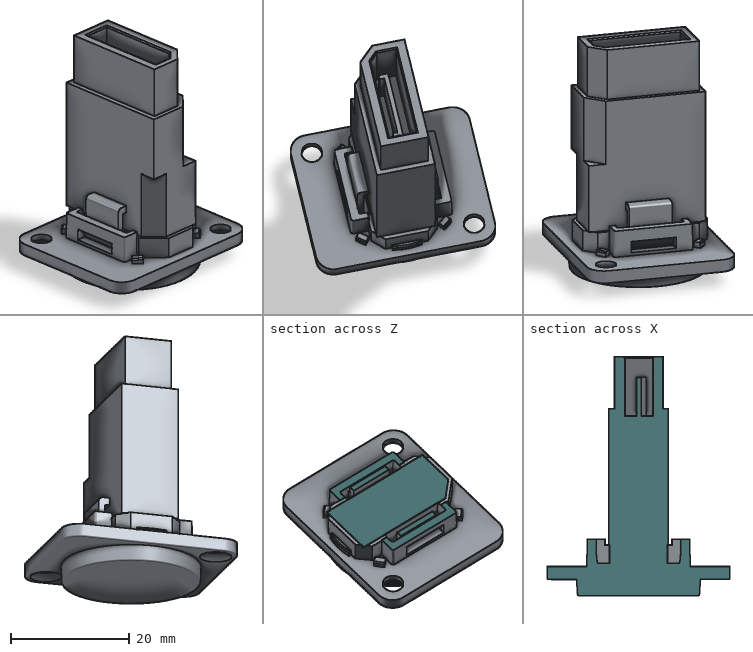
import cadquery as cq
import math

flange_x = 26.0
flange_y = 31.0
flange_corner_radius = 3.0
flange_edge_radius = 0.25
boss_height = 2.75
flange_thickness = 2.25
flange_top = boss_height + flange_thickness
boss_top_radius = 11.9
boss_bottom_radius = 11.75
boss_edge_radius = 0.25
screw_diameter = 3.5
countersink_diameter = 5.4
countersink_depth = 1.2
screw_x = 9.5
screw_y = 12.0

collar_x = 22.1
collar_y = 11.5
collar_top = 8.62
collar_chamfer = 2.05
collar_key_chamfer = 3.6

body_x = 20.7
body_y = 10.1
body_key_chamfer = 3.0
body_split = 20.45
body_top = 31.7
nose_x = 19.05
nose_y = 8.25
nose_center_y = 0.05
nose_key_chamfer = 2.65
overall_height = 40.5

socket_x = 16.15
socket_y = 4.7
socket_center_y = 0.07
socket_key_chamfer = 1.4
socket_lead_in = 0.25
socket_depth = 10.0
tongue_center_x = -0.5
tongue_length = 12.0
tongue_bottom_y = -0.35
tongue_thickness = 0.82
tongue_hook_height = 1.65
tongue_hook_width = 0.75
tongue_recess = 3.5

frame_x = 14.1
frame_outer_y = 8.82
frame_inner_y = 5.65
frame_top = 9.6
frame_corner_radius = 0.5
frame_draft = 1.6
pocket_top_x = 11.8
pocket_floor_x = 10.9
pocket_outer_y = 7.13
pocket_undercut = 0.1
pocket_inner_y = body_y / 2 - pocket_undercut
pocket_corner_radius = 0.3
window_x = 8.0
window_sill = 0.55
window_head = 2.5
window_bottom = flange_top + window_sill
window_top = flange_top + window_head

clip_x = 7.65
clip_outer_y = 7.0
clip_leg = 1.1
clip_arm = 1.25
clip_top = 13.3
clip_outer_radius = 0.75
clip_inner_radius = 0.3
hook_reach = 1.0
hook_top_gap = 0.3
hook_top = window_top - hook_top_gap

tab_outer_radius = 11.8
tab_height = 0.97
tab_chamfer = 0.25
corner_tab_inner_radius = 10.55
corner_tab_width = 1.86
corner_tab_angles = (40, 140, 220, 320)
side_tab_inner_radius = 10.5
side_tab_width = 5.16
side_tab_angle = 180


def block(size_x, size_y, bottom, top, center_y=0.0):
    base = cq.Workplane("XY", origin=(0, center_y, bottom))
    return base.rect(size_x, size_y).extrude(top - bottom)


def keyed_block(size_x, size_y, bottom, top, key, center_y=0.0, key_side=1):
    """Box with one +X corner cut off, on the +Y side (1) or the -Y side (-1)."""
    edge = ">X and >Y" if key_side > 0 else ">X and <Y"
    return block(size_x, size_y, bottom, top, center_y).edges(edge).chamfer(key)


def make_screw_hole(x, y):
    """Screw hole through the flange with a countersink on the underside."""
    hole = (
        cq.Workplane("XY", origin=(x, y, boss_height))
        .circle(screw_diameter / 2)
        .extrude(flange_thickness)
    )
    countersink = (
        cq.Workplane("XY", origin=(x, y, boss_height))
        .circle(countersink_diameter / 2)
        .workplane(offset=countersink_depth)
        .circle(screw_diameter / 2)
        .loft()
    )
    return hole.union(countersink)


def make_flange():
    plate = block(flange_x, flange_y, boss_height, flange_top)
    plate = plate.edges("|Z").fillet(flange_corner_radius)
    plate = plate.faces("<Z").edges().fillet(flange_edge_radius)
    boss = (
        cq.Workplane("XY")
        .circle(boss_bottom_radius)
        .workplane(offset=boss_height)
        .circle(boss_top_radius)
        .loft()
        .faces("<Z").edges().fillet(boss_edge_radius)
    )
    flange = plate.union(boss)
    for side in (1, -1):
        flange = flange.cut(make_screw_hole(side * screw_x, side * screw_y))
    return flange


def make_collar():
    collar = keyed_block(collar_x, collar_y, flange_top, collar_top, collar_key_chamfer, key_side=-1)
    for edge in ("<X and <Y", "<X and >Y", ">X and >Y"):
        collar = collar.edges(edge).chamfer(collar_chamfer)
    return collar


def make_coupler():
    """Two body halves with opposite keys, topped by the nose of the upper socket."""
    lower = keyed_block(body_x, body_y, collar_top, body_split, body_key_chamfer, key_side=-1)
    upper = keyed_block(body_x, body_y, body_split, body_top, body_key_chamfer)
    nose = keyed_block(nose_x, nose_y, body_top, overall_height, nose_key_chamfer, nose_center_y)
    return lower.union(upper).union(nose)


def make_socket():
    """Volume of the open socket, with a 45 degree lead-in at its mouth."""
    floor = overall_height - socket_depth
    socket = keyed_block(
        socket_x, socket_y, floor, overall_height, socket_key_chamfer, socket_center_y
    )
    lead_in = keyed_block(
        socket_x + 2 * socket_lead_in,
        socket_y + 2 * socket_lead_in,
        overall_height - socket_lead_in,
        overall_height + socket_lead_in,
        socket_key_chamfer + (2 - math.sqrt(2)) * socket_lead_in,
        socket_center_y,
    )
    lead_in = lead_in.faces("<Z").edges().chamfer(socket_lead_in)
    return socket.union(lead_in)


def make_tongue():
    """Contact tongue with a hook at each end, standing on the socket floor."""
    floor = overall_height - socket_depth
    height = socket_depth - tongue_recess
    outer_x = tongue_length / 2
    inner_x = outer_x - tongue_hook_width
    return (
        cq.Workplane("XY", origin=(tongue_center_x, tongue_bottom_y, floor))
        .moveTo(-outer_x, 0)
        .lineTo(outer_x, 0)
        .lineTo(outer_x, tongue_hook_height)
        .lineTo(inner_x, tongue_hook_height)
        .lineTo(inner_x, tongue_thickness)
        .lineTo(-inner_x, tongue_thickness)
        .lineTo(-inner_x, tongue_hook_height)
        .lineTo(-outer_x, tongue_hook_height)
        .close()
        .extrude(height)
    )


def make_frames():
    """Both latch frames before their pockets and windows are cut."""
    height = frame_top - flange_top
    frames = (
        cq.Workplane("XY", origin=(0, 0, flange_top))
        .sketch()
        .rect(frame_x, 2 * frame_outer_y)
        .vertices()
        .fillet(frame_corner_radius)
        .finalize()
        .extrude(height, taper=frame_draft)
    )
    middle = block(frame_x, 2 * frame_inner_y, flange_top, frame_top)
    return frames.cut(middle)


def make_pockets():
    """Two openings beside the coupler, narrowing towards the flange."""
    opening = (
        cq.Workplane("XZ", origin=(0, pocket_outer_y, 0))
        .moveTo(-pocket_floor_x / 2, flange_top)
        .lineTo(pocket_floor_x / 2, flange_top)
        .lineTo(pocket_top_x / 2, frame_top)
        .lineTo(-pocket_top_x / 2, frame_top)
        .close()
        .extrude(2 * pocket_outer_y)
        .edges("not(#Z or |Y)").fillet(pocket_corner_radius)
    )
    core = block(collar_x, 2 * pocket_inner_y, flange_top, frame_top)
    return opening.cut(core)


def make_windows():
    """One window through the outer wall of each frame."""
    windows = block(window_x, 2 * frame_outer_y, window_bottom, window_top)
    core = block(window_x, 2 * pocket_outer_y, window_bottom, window_top)
    return windows.cut(core)


def make_clip():
    """Clip on the +Y side: leg, arm into the body and a hook in the window."""
    leg_inner_y = clip_outer_y - clip_leg
    arm_bottom = clip_top - clip_arm
    arm_inner_y = body_y / 2
    profile = (
        cq.Workplane("YZ", origin=(-clip_x / 2, 0, 0))
        .moveTo(leg_inner_y, flange_top)
        .lineTo(clip_outer_y, flange_top)
        .lineTo(clip_outer_y, window_bottom)
        .lineTo(clip_outer_y + hook_reach, hook_top)
        .lineTo(clip_outer_y, hook_top)
        .lineTo(clip_outer_y, clip_top - clip_outer_radius)
        .radiusArc((clip_outer_y - clip_outer_radius, clip_top), -clip_outer_radius)
        .lineTo(arm_inner_y, clip_top)
        .lineTo(arm_inner_y, arm_bottom)
        .lineTo(leg_inner_y - clip_inner_radius, arm_bottom)
        .radiusArc((leg_inner_y, arm_bottom - clip_inner_radius), clip_inner_radius)
        .close()
    )
    return profile.extrude(clip_x)


def make_tab(angle, inner_radius, width):
    """Piece of a ring, cut to a tangential width and turned to its angle."""
    disc = cq.Workplane("XY", origin=(0, 0, flange_top)).circle(tab_outer_radius).extrude(tab_height)
    disc = disc.faces(">Z").edges().chamfer(tab_chamfer)
    depth = tab_outer_radius - inner_radius
    piece = (
        cq.Workplane("XY", origin=(inner_radius + depth / 2, 0, flange_top))
        .rect(depth, width)
        .extrude(tab_height)
    )
    return disc.intersect(piece).rotate((0, 0, 0), (0, 0, 1), angle)


latch_housing = make_collar().union(make_frames()).cut(make_pockets()).cut(make_windows())

result = make_flange().union(latch_housing).union(make_coupler())
result = result.cut(make_socket()).union(make_tongue())

clip = make_clip()
result = result.union(clip).union(clip.mirror("XZ"))

for tab_angle in corner_tab_angles:
    result = result.union(make_tab(tab_angle, corner_tab_inner_radius, corner_tab_width))
result = result.union(make_tab(side_tab_angle, side_tab_inner_radius, side_tab_width))